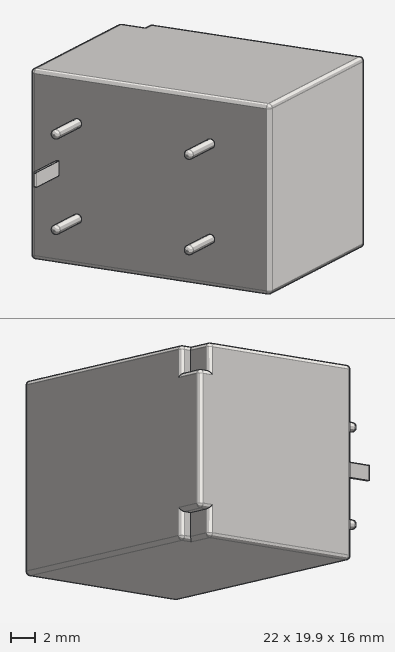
import cadquery as cq

length = 22.0
depth = 16.0
height = 16.0
edge_radius = 0.35

notch_length = 2.3
notch_depth = 1.0
notch_height = 2.3

terminal_length = 3.92
pin_diameter = 0.8
pin_tip_radius = 0.33
first_pin_x = 4.3
pin_spacing_x = 12.2
pin_spacing_z = 8.0

blade_x = 2.5
blade_thickness = 0.25
blade_width = 1.25
blade_tip_radius = 0.1


def make_housing():
    """Block with two notched corners and every outward edge rounded."""
    block = cq.Workplane("XY").box(length, depth, height, centered=(False, False, True))
    notch_size = (notch_length, notch_depth, notch_height)
    for side in (-1, 1):
        notch_centre = (
            notch_length / 2,
            depth - notch_depth / 2,
            side * (height - notch_height) / 2,
        )
        block = block.cut(cq.Workplane("XY").box(*notch_size).translate(notch_centre))

    inner_z = height / 2 - notch_height
    inner_corners = [
        cq.Vector(notch_length, depth - notch_depth, side * inner_z) for side in (-1, 1)
    ]

    tolerance = 0.002

    def is_outward(edge):
        ends = (edge.startPoint(), edge.endPoint())
        return all((end - corner).Length > tolerance for end in ends for corner in inner_corners)

    outward_edges = [edge for edge in block.edges().vals() if is_outward(edge)]
    return block.newObject(outward_edges).fillet(edge_radius)


def make_pin(x, z):
    """Round pin with a rounded tip."""
    pin = cq.Workplane("XZ").circle(pin_diameter / 2).extrude(terminal_length)
    return pin.faces("<Y").edges().fillet(pin_tip_radius).translate((x, 0, z))


def make_blade():
    """Thin flat terminal with a rounded tip."""
    blade = cq.Workplane("XZ").rect(blade_thickness, blade_width).extrude(terminal_length)
    return blade.faces("<Y").edges().fillet(blade_tip_radius).translate((blade_x, 0, 0))


result = make_housing().union(make_blade())
for pin_x in (first_pin_x, first_pin_x + pin_spacing_x):
    for pin_z in (-pin_spacing_z / 2, pin_spacing_z / 2):
        result = result.union(make_pin(pin_x, pin_z))